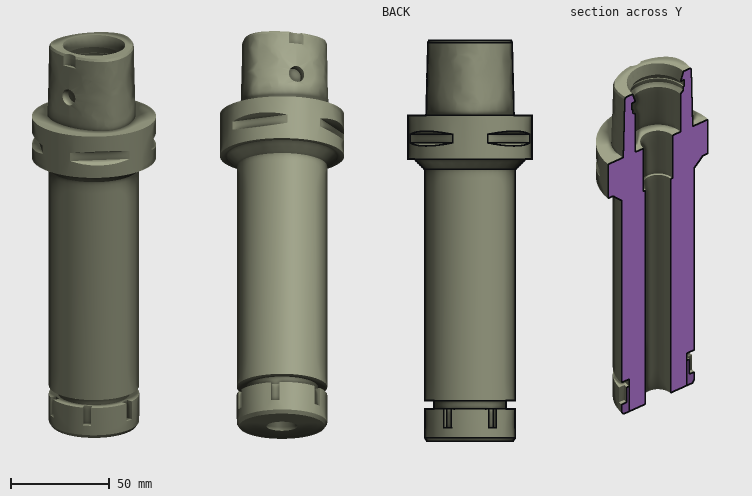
import cadquery as cq
import math

TOTAL_HEIGHT = 203.0
SHANK_HEIGHT = 38.0
FLANGE_HEIGHT = 22.1
BODY_BOTTOM_Z = 20.7
NUT_HEIGHT = 16.5
FLANGE_TOP_Z = TOTAL_HEIGHT - SHANK_HEIGHT
FLANGE_BOTTOM_Z = FLANGE_TOP_Z - FLANGE_HEIGHT

FLANGE_RADIUS = 31.5
CONE_TOP_RADIUS = 28.2
BODY_RADIUS = 23.0
NECK_RADIUS = 18.3
CONE_HEIGHT = CONE_TOP_RADIUS - BODY_RADIUS
BODY_TOP_Z = FLANGE_BOTTOM_Z - CONE_HEIGHT

SHANK_BASE_RADIUS = 22.3
SHANK_LOBE = 1.5
SHANK_TAPER = 1 / 40
SHANK_EDGE_HEIGHT = 1.2
SHANK_EDGE_WIDTH = 0.6
OUTLINE_POINTS = 60

MOUTH_RADIUS = 15.8
MOUTH_DEPTH = 5.9
BORE_RADIUS = 14.0
GROOVE_RADIUS = 16.5
GROOVE_WIDTH = 3.9
RECESS_RADIUS = 15.8
RECESS_HEIGHT = 2.2
SCREW_HOLE_DIAMETER = 18.0
THROUGH_DIAMETER = 15.6
SCREW_HOLE_RADIUS = SCREW_HOLE_DIAMETER / 2
THROUGH_RADIUS = THROUGH_DIAMETER / 2

NOTCH_RADIUS = 5.3
NOTCH_INNER_Y = -18.0
NOTCH_DEPTH = 6.0
SIDE_HOLE_DIAMETER = 8.3
SIDE_HOLE_Z = 180.7
SIDE_HOLE_DEPTH = 5.0

GRIP_COUNT = 4
GRIP_FIRST_ANGLE = 45
GRIP_Z = 153.3
GRIP_FLOOR_DISTANCE = 27.6
GRIP_FLOOR_HEIGHT = 4.3
GRIP_MOUTH_HEIGHT = 7.5

NUT_EDGE_WIDTH = 1.2
NUT_EDGE_HEIGHT = 1.8
SPANNER_SLOT_COUNT = 6
SPANNER_SLOT_WIDTH = 4.3
SPANNER_SLOT_DEPTH = 3.2
SPANNER_SLOT_HEIGHT = 9.5


def revolve_profile(points):
    """Turn a closed (radius, z) outline about the Z axis."""
    return cq.Workplane("XZ").polyline(points).close().revolve(360, (0, 0), (0, 1))


def shank_outline(mean_radius, z):
    """Smooth three-lobed outline of constant width with one lobe on +Y."""
    points = []
    for index in range(OUTLINE_POINTS):
        angle = 2 * math.pi * index / OUTLINE_POINTS
        reach = mean_radius - SHANK_LOBE * math.cos(3 * angle)
        slide = 3 * SHANK_LOBE * math.sin(3 * angle)
        x = reach * math.sin(angle) + slide * math.cos(angle)
        y = slide * math.sin(angle) - reach * math.cos(angle)
        points.append(cq.Vector(x, y, z))
    curve = cq.Edge.makeSpline(points, periodic=True)
    return cq.Wire.assembleEdges([curve])


def make_shank():
    """Tapered shank with a bevelled top edge."""
    edge_z = TOTAL_HEIGHT - SHANK_EDGE_HEIGHT
    edge_radius = SHANK_BASE_RADIUS - SHANK_TAPER * (edge_z - FLANGE_TOP_Z)
    base = shank_outline(SHANK_BASE_RADIUS, FLANGE_TOP_Z)
    edge = shank_outline(edge_radius, edge_z)
    top = shank_outline(edge_radius - SHANK_EDGE_WIDTH, TOTAL_HEIGHT)
    return cq.Workplane(cq.Solid.makeLoft([base, edge, top], True))


def make_turned_body():
    """Flange, cone, long body and the neck that fills the nut."""
    return revolve_profile([
        (0, 0),
        (NECK_RADIUS, 0),
        (NECK_RADIUS, BODY_BOTTOM_Z),
        (BODY_RADIUS, BODY_BOTTOM_Z),
        (BODY_RADIUS, BODY_TOP_Z),
        (CONE_TOP_RADIUS, FLANGE_BOTTOM_Z),
        (FLANGE_RADIUS, FLANGE_BOTTOM_Z),
        (FLANGE_RADIUS, FLANGE_TOP_Z),
        (0, FLANGE_TOP_Z),
    ])


def make_axial_hole():
    """Conical mouth, groove and recess, then bore, screw hole and through hole."""
    mouth_bottom_z = TOTAL_HEIGHT - MOUTH_DEPTH
    groove_bottom_z = mouth_bottom_z - GROOVE_WIDTH
    recess_bottom_z = groove_bottom_z - RECESS_HEIGHT
    bore_top_z = recess_bottom_z - (RECESS_RADIUS - BORE_RADIUS)
    return revolve_profile([
        (0, 0),
        (THROUGH_RADIUS, 0),
        (THROUGH_RADIUS, BODY_TOP_Z),
        (SCREW_HOLE_RADIUS, BODY_TOP_Z),
        (SCREW_HOLE_RADIUS, FLANGE_TOP_Z),
        (BORE_RADIUS, FLANGE_TOP_Z),
        (BORE_RADIUS, bore_top_z),
        (RECESS_RADIUS, recess_bottom_z),
        (RECESS_RADIUS, groove_bottom_z),
        (GROOVE_RADIUS, groove_bottom_z),
        (GROOVE_RADIUS, mouth_bottom_z),
        (BORE_RADIUS, mouth_bottom_z),
        (MOUTH_RADIUS, TOTAL_HEIGHT),
        (0, TOTAL_HEIGHT),
    ])


def make_key_notch():
    """Upright round notch in the top edge of the shank."""
    return (
        cq.Workplane("XY", origin=(0, NOTCH_INNER_Y - NOTCH_RADIUS, TOTAL_HEIGHT))
        .circle(NOTCH_RADIUS)
        .extrude(-NOTCH_DEPTH)
    )


def make_side_hole():
    """Blind hole in the flat side of the shank, cut in from -Y."""
    surface_y = SHANK_LOBE - SHANK_BASE_RADIUS + SHANK_TAPER * (SIDE_HOLE_Z - FLANGE_TOP_Z)
    return (
        cq.Workplane("XZ", origin=(0, surface_y + SIDE_HOLE_DEPTH, SIDE_HOLE_Z))
        .circle(SIDE_HOLE_DIAMETER / 2)
        .extrude(2 * SIDE_HOLE_DEPTH)
    )


def make_grip_slot(angle):
    """Straight slot across the flange rim, wider at its mouth than at its floor."""
    half_floor = GRIP_FLOOR_HEIGHT / 2
    half_mouth = GRIP_MOUTH_HEIGHT / 2
    return (
        cq.Workplane("XZ", origin=(0, 0, GRIP_Z))
        .polyline([
            (GRIP_FLOOR_DISTANCE, -half_floor),
            (FLANGE_RADIUS, -half_mouth),
            (FLANGE_RADIUS, half_mouth),
            (GRIP_FLOOR_DISTANCE, half_floor),
        ])
        .close()
        .extrude(FLANGE_RADIUS, both=True)
        .rotate((0, 0, 0), (0, 0, 1), angle)
    )


def make_holder():
    holder = make_turned_body().union(make_shank())
    holder = holder.cut(make_axial_hole())
    holder = holder.cut(make_key_notch())
    holder = holder.cut(make_side_hole())
    for index in range(GRIP_COUNT):
        holder = holder.cut(make_grip_slot(GRIP_FIRST_ANGLE + index * 360 / GRIP_COUNT))
    return holder


def make_spanner_slot(angle):
    """Slot in the rim of the nut, open at its top face."""
    floor_distance = BODY_RADIUS - SPANNER_SLOT_DEPTH
    return (
        cq.Workplane("XY")
        .box(
            2 * SPANNER_SLOT_DEPTH,
            SPANNER_SLOT_WIDTH,
            SPANNER_SLOT_HEIGHT,
            centered=(False, True, False),
        )
        .translate((floor_distance, 0, NUT_HEIGHT - SPANNER_SLOT_HEIGHT))
        .rotate((0, 0, 0), (0, 0, 1), angle)
    )


def make_nut():
    """Ring around the neck, as wide as the body, with a bevelled bottom edge."""
    nut = revolve_profile([
        (NECK_RADIUS, 0),
        (BODY_RADIUS - NUT_EDGE_WIDTH, 0),
        (BODY_RADIUS, NUT_EDGE_HEIGHT),
        (BODY_RADIUS, NUT_HEIGHT),
        (NECK_RADIUS, NUT_HEIGHT),
    ])
    for index in range(SPANNER_SLOT_COUNT):
        nut = nut.cut(make_spanner_slot(index * 360 / SPANNER_SLOT_COUNT))
    return nut


holder = make_holder()
nut = make_nut()
result = cq.Compound.makeCompound([holder.val(), nut.val()])